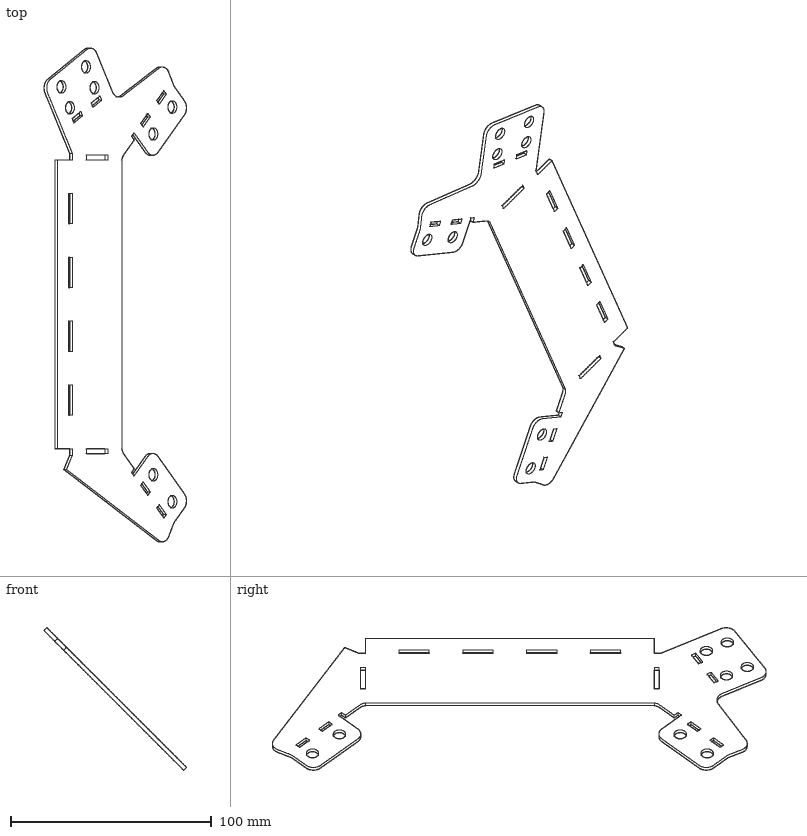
import cadquery as cq
import math


thickness = 2.0
tilt_angle = 45.0

body_length = 144.0
body_width = 45.4
neck_width = 35.0
neck_blend_radius = 5.0

slot_width = 2.4
long_slot_length = 15.0
short_slot_length = 7.0
body_slot_count = 4

foot_angle = 45.0
foot_near_side = 66.5
foot_far_side = 102.9
foot_end = 35.6
foot_neck_edge = 51.8
foot_hole_count = 2
foot_hole_spacing = 19.0
foot_hole_end_margin = 8.8
foot_hole_far_margin = 8.2
foot_slot_spacing = 16.0
foot_slot_row = 53.2

back_angle = 28.5
foot_back = 91.0
foot_tip_side = 84.2

arm_angle = 30.0
arm_near_side = 7.3
arm_width = 39.9
arm_end = 122.4
arm_hole_column_spacing = 20.0
arm_hole_rows = 2
arm_hole_row_spacing = 12.0
arm_hole_end_margin = 7.2
arm_slot_spacing = 15.5
arm_slot_row = 96.5

right_angle = 90.0
hole_diameter = 6.2
corner_radius = 5.0
crotch_radius = 5.5

body_end = body_length / 2
arm_center = arm_near_side + arm_width / 2
arm_far_side = arm_near_side + arm_width
foot_center = (foot_near_side + foot_far_side) / 2

slit_side = foot_near_side - slot_width
slit_end = foot_slot_row + slot_width / 2


def rotated(along, across, angle):
    """Point given along a direction at `angle` from u and square to it, as (u, v)."""
    a = math.radians(angle)
    return (
        along * math.cos(a) - across * math.sin(a),
        along * math.sin(a) + across * math.cos(a),
    )


def on_foot(along, across):
    return rotated(along, across, foot_angle)


def on_arm(along, across):
    return rotated(along, across, arm_angle)


def crossing(first_angle, first_offset, second_angle, second_offset):
    """Where two lines meet, each given by its normal's angle from u and its distance from the origin."""
    a = math.radians(first_angle)
    b = math.radians(second_angle)
    det = math.sin(b - a)
    u = (first_offset * math.sin(b) - second_offset * math.sin(a)) / det
    v = (second_offset * math.cos(a) - first_offset * math.cos(b)) / det
    return (u, v)


arm_root_near = crossing(arm_angle, arm_near_side, back_angle + right_angle, foot_back)
arm_root_far = crossing(arm_angle, arm_far_side, back_angle + right_angle, foot_back)


def extruded(points):
    return cq.Workplane("XY").polyline(points).close().extrude(thickness)


def rounded(solid, points, radius):
    """Round the through-thickness edges that stand on the given profile points."""
    for u, v in points:
        edge = cq.selectors.NearestToPointSelector((u, v, thickness / 2))
        solid = solid.edges("|Z").edges(edge).fillet(radius)
    return solid


def slot(center, length, angle):
    return (
        cq.Workplane("XY")
        .center(*center)
        .transformed(rotate=(0, 0, angle))
        .rect(length, slot_width)
        .extrude(thickness)
    )


def hole(center):
    return cq.Workplane("XY").center(*center).circle(hole_diameter / 2).extrude(thickness)


def make_end():
    """Neck and foot on the +v side of the body."""
    neck_start = crossing(0, 0, foot_angle + right_angle, foot_neck_edge)
    arm_edge_start = crossing(0, -neck_width, arm_angle, arm_near_side)
    inner_corner = on_foot(foot_near_side, foot_end)
    outer_corner = on_foot(foot_far_side, foot_end)
    kink = crossing(back_angle, foot_tip_side, foot_angle, foot_far_side)
    tip = rotated(foot_tip_side, foot_back, back_angle)
    end = extruded([
        (-neck_width, 0),
        (0, 0),
        neck_start,
        on_foot(slit_side, foot_neck_edge),
        on_foot(slit_side, slit_end),
        on_foot(foot_near_side, slit_end),
        inner_corner,
        outer_corner,
        kink,
        tip,
        arm_root_near,
        arm_edge_start,
    ])
    end = rounded(end, [inner_corner, outer_corner, kink, tip], corner_radius)
    end = rounded(end, [neck_start], neck_blend_radius)
    for i in range(foot_hole_count):
        hole_at = foot_far_side - foot_hole_far_margin - i * foot_hole_spacing
        end = end.cut(hole(on_foot(hole_at, foot_end + foot_hole_end_margin)))
    for side in (-1, 1):
        slot_at = foot_center + side * foot_slot_spacing / 2
        end = end.cut(slot(on_foot(slot_at, foot_slot_row), short_slot_length, foot_angle))
    neck_slot_center = (-neck_width / 2, body_end + slot_width / 2)
    return end.cut(slot(neck_slot_center, long_slot_length, 0))


def make_arm():
    """Perforated pad that reaches out past the back edge of the foot."""
    near_corner = on_arm(arm_near_side, arm_end)
    far_corner = on_arm(arm_far_side, arm_end)
    arm = extruded([arm_root_near, arm_root_far, far_corner, near_corner])
    arm = rounded(arm, [near_corner, far_corner], corner_radius)
    for side in (-1, 1):
        for row in range(arm_hole_rows):
            along = arm_center + side * arm_hole_column_spacing / 2
            across = arm_end - arm_hole_end_margin - row * arm_hole_row_spacing
            arm = arm.cut(hole(on_arm(along, across)))
        slot_at = arm_center + side * arm_slot_spacing / 2
        arm = arm.cut(slot(on_arm(slot_at, arm_slot_row), short_slot_length, arm_angle))
    return arm


def make_body():
    """Straight strip with an evenly spaced row of slots."""
    body = cq.Workplane("XY").box(body_width, body_length, thickness, centered=(False, True, False))
    body = body.translate((-body_width, 0, 0))
    gap = (body_length - body_slot_count * long_slot_length) / (body_slot_count + 1)
    pitch = gap + long_slot_length
    for i in range(body_slot_count):
        v = (i - (body_slot_count - 1) / 2) * pitch
        body = body.cut(slot((-neck_width - slot_width / 2, v), long_slot_length, right_angle))
    return body


def beyond_body(solid):
    """The stretch of an end that lies past the +v end of the body."""
    keep = cq.Workplane("XY").box(2 * body_length, body_length, thickness, centered=(True, False, False))
    return solid.intersect(keep.translate((0, body_end, 0)))


def make_plate():
    """Body with a foot at both ends and the arm at the +v end."""
    foot = make_end()
    foot_with_arm = rounded(foot.union(make_arm()), [arm_root_far], crotch_radius)
    far_end = beyond_body(foot_with_arm)
    near_end = beyond_body(foot).mirror("XZ")
    return make_body().union(far_end).union(near_end).clean()


result = make_plate().rotate((0, 0, 0), (0, 1, 0), tilt_angle)